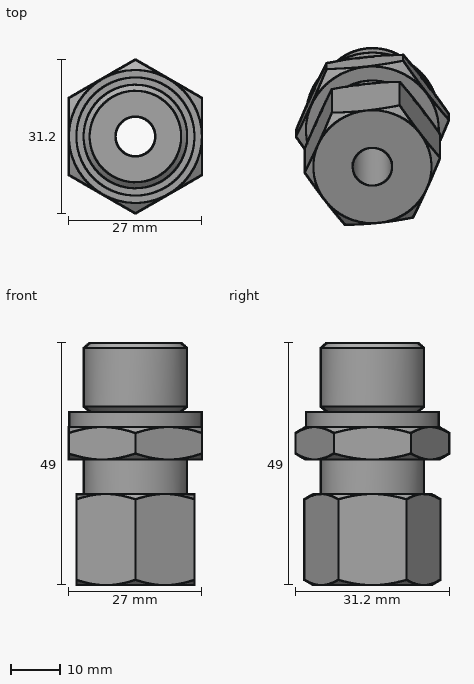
import cadquery as cq
import math

total_height = 49.0
bore_diameter = 8.0

nut_across_flats = 23.9
nut_height = 18.4
body_across_flats = 27.0
body_bottom = 25.4
body_top = 32.0
hex_chamfer_angle = 30.0
corner_clearance = 0.5

shank_diameter = 20.95
collar_diameter = 26.9
collar_top = 35.05
undercut_diameter = 18.38
undercut_height = 1.1

seat_diameter = 23.9
seat_depth = 0.1

tip_diameter = 18.5
tip_chamfer_height = 1.1


def cylinder(diameter, bottom, top):
    return cq.Workplane("XY").workplane(offset=bottom).circle(diameter / 2).extrude(top - bottom)


def chamfered_hexagon(across_flats, chamfer_diameter, bottom, top):
    """Hexagonal prism with flats facing X and conically chamfered corners at both ends."""
    across_corners = across_flats / math.cos(math.pi / 6)
    prism = (
        cq.Workplane("XY")
        .workplane(offset=bottom)
        .polygon(6, across_corners)
        .extrude(top - bottom)
        .rotate((0, 0, 0), (0, 0, 1), 30)
    )
    end_radius = chamfer_diameter / 2
    outer_radius = across_corners / 2 + corner_clearance
    drop = (outer_radius - end_radius) * math.tan(math.radians(hex_chamfer_angle))
    envelope = (
        cq.Workplane("XZ")
        .moveTo(0, bottom)
        .lineTo(end_radius, bottom)
        .lineTo(outer_radius, bottom + drop)
        .lineTo(outer_radius, top - drop)
        .lineTo(end_radius, top)
        .lineTo(0, top)
        .close()
        .revolve(360, (0, 0, 0), (0, 1, 0))
    )
    return prism.intersect(envelope)


def threaded_end():
    """Upper shank: conical undercut above the collar and a chamfered tip."""
    shank_radius = shank_diameter / 2
    return (
        cq.Workplane("XZ")
        .moveTo(0, collar_top - seat_depth)
        .lineTo(undercut_diameter / 2, collar_top - seat_depth)
        .lineTo(undercut_diameter / 2, collar_top)
        .lineTo(shank_radius, collar_top + undercut_height)
        .lineTo(shank_radius, total_height - tip_chamfer_height)
        .lineTo(tip_diameter / 2, total_height)
        .lineTo(0, total_height)
        .close()
        .revolve(360, (0, 0, 0), (0, 1, 0))
    )


nut = chamfered_hexagon(nut_across_flats, nut_across_flats, 0, nut_height)
neck = cylinder(shank_diameter, nut_height, body_bottom)
body = chamfered_hexagon(body_across_flats, collar_diameter, body_bottom, body_top)
collar = cylinder(collar_diameter, body_top, collar_top)
seat = cylinder(seat_diameter, collar_top - seat_depth, collar_top)
bore = cylinder(bore_diameter, 0, total_height)

result = nut.union(neck).union(body).union(collar).cut(seat).union(threaded_end()).cut(bore)